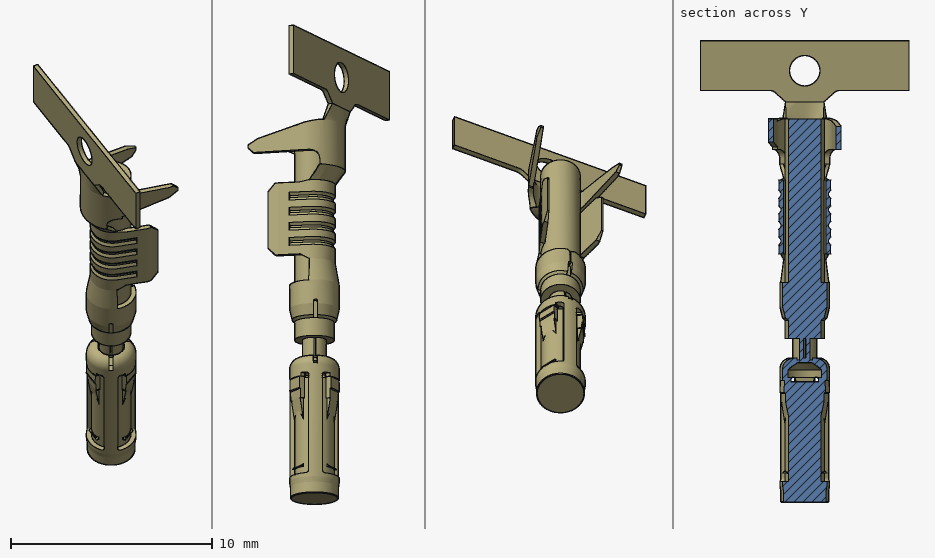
import cadquery as cq
import math


SHEET = 0.25
TOTAL_HEIGHT = 22.97
STRIP_WIDTH = 10.39
BACK_Y = -1.52
WING_TIP_Y = 2.59
BODY_RADIUS = 1.24
PIN_RADIUS = 1.98 / 2

DOME_BASE_Z = 6.58
DOME_TOP_Z = 7.19
PIN_BOTTOM_Z = 8.14
COLLAR_BOTTOM_Z = 9.05
COLLAR_TAPER_Z = 9.72
COLLAR_TOP_Z = 10.94
CRIMP_BOTTOM_Z = 12.07
CRIMP_TOP_Z = 16.13
INSULATION_BOTTOM_Z = 16.82
INSULATION_TOP_Z = 19.11
PIN_TOP_Z = 19.07
STRIP_NECK_Z = 19.92
STRIP_BOTTOM_Z = 20.48

RIM_RADIUS = 1.16
RIM_STEP_RADIUS = 1.20
RIM_STEP_BOTTOM_Z = 0.55
RIM_STEP_TOP_Z = 0.82
NECK_RADIUS = 0.60
NECK_GAP = 0.06
NECK_GAP_DEPTH = 0.10
DOME_INNER_RADIUS = 0.72
CORE_TOP_Z = 6.00
PETAL_COUNT = 3
FRONT_ANGLE = -90
PETAL_STEP = 360 / PETAL_COUNT
WINDOW_HALF_ANGLE = 44
WINDOW_BOTTOM_Z = 1.04
WINDOW_TOP_Z = 6.22
WINDOW_CORNER = 0.15
TONGUE_ROOT_Z = 6.05
TONGUE_ROOT_WIDTH = 1.02
TONGUE_WIDTH = 0.90
TONGUE_END_WIDTH = 0.80
TONGUE_CREASE_Z = 5.47
TONGUE_CREASE_RADIUS = 1.17
TONGUE_CREASE = 0.05
TONGUE_STEP_Z = 4.96
TONGUE_STEP_RADIUS = 1.10
TONGUE_SLOPE = 0.11 / 0.61
TONGUE_INNER_RADIUS = 0.86
BUMP_BOTTOM_Z = 1.45
BUMP_SIZE = 0.18

SLIT_WIDTH = 0.20
DOME_SLIT_BOTTOM_Z = 6.68
COLLAR_SLIT_TOP_Z = 9.94
NECK_SEAM_WIDTH = 0.08
NECK_SEAM_DEPTH = 0.15
COLLAR_SEAM_WIDTH = 0.08
COLLAR_SEAM_FLARE = 0.12

TANGENT_Y = -0.26
CRIMP_BACK_Y = -1.04
CRIMP_TILT = 17
CRIMP_TIP_Y = 1.83
CRIMP_HALF_WIDTH = 1.51
CRIMP_WING_BOTTOM_Z = 12.34
CRIMP_WING_TOP_Z = 16.04
CRIMP_CORNER = 0.40
CRIMP_SHOULDER_Y = 0.20
COLLAR_EDGE_Y = -0.30
INSULATION_TILT = 14
INSULATION_HALF_WIDTH = 2.20
INSULATION_ROOT_Y = -0.95
WING_BOTTOM_Z = 17.55
WING_SHOULDER_Z = 18.96
WING_TIP_Z = 18.26
WING_TIP_CORNER = 0.28
WING_BEND = 0.45

GROOVE_COUNT = 4
GROOVE_PITCH = 0.775
LOWEST_GROOVE_Z = 13.00
GROOVE_WIDTH = 0.40
GROOVE_FLOOR = 0.10
GROOVE_DEPTH = 0.10
GROOVE_END_Y = 0.72

STRIP_HOLE_DIAMETER = 1.50
STRIP_HOLE_Z = 21.47
NECK_HALF_WIDTH = 0.96
NECK_FLARE_HALF_WIDTH = 1.58
NECK_BASE_HALF_WIDTH = 1.09
FLARE_FILLET = 0.40
FLAT_RADIUS = 60

BIG = 10


def cylinder(radius, bottom, top):
    return cq.Workplane("XY", origin=(0, 0, bottom)).circle(radius).extrude(top - bottom)


def box(x_range, y_range, z_range):
    """Box given by its lower and upper limit along each axis."""
    lows, highs = zip(x_range, y_range, z_range)
    size = [high - low for low, high in zip(lows, highs)]
    return cq.Workplane("XY").box(*size, centered=False).translate(lows)


def petal_angles(offset):
    """Directions of the repeated features, measured from +X."""
    return [FRONT_ANGLE + offset + index * PETAL_STEP for index in range(PETAL_COUNT)]


def turned(body, angle):
    """Turn a body built toward +X to the given direction around the contact axis."""
    return body.rotate((0, 0, 0), (0, 0, 1), angle)


def trough_arc(back_y, tilt):
    """Radius and centre height of the trough arc that runs into tilted wings at TANGENT_Y."""
    radius = (TANGENT_Y - back_y) / (1 - math.sin(math.radians(tilt)))
    return radius, back_y + radius


def band_wire(radius, center_y, half_angle, z):
    """Curved strip one sheet thick, centred on the -Y direction."""
    def point(r, degrees):
        angle = math.radians(degrees)
        return r * math.sin(angle), center_y - r * math.cos(angle)

    inner = radius - SHEET
    return (
        cq.Workplane("XY", origin=(0, 0, z))
        .moveTo(*point(radius, -half_angle))
        .threePointArc(point(radius, 0), point(radius, half_angle))
        .lineTo(*point(inner, half_angle))
        .threePointArc(point(inner, 0), point(inner, -half_angle))
        .close()
        .val()
    )


def band_loft(lower_wire, upper_wire):
    return cq.Workplane(cq.Solid.makeLoft([lower_wire, upper_wire], True))


def filled_u(back_y, tilt, tip_y, inset, z):
    """Outer outline of a trough with its wings, moved inward by inset and closed across the tips."""
    base_radius, center_y = trough_arc(back_y, tilt)
    radius = base_radius - inset
    slope = math.radians(tilt)
    tangent_x = radius * math.cos(slope)
    tangent_y = center_y - radius * math.sin(slope)
    tip_x = tangent_x + (tip_y - tangent_y) * math.tan(slope)
    return (
        cq.Workplane("XY", origin=(0, 0, z))
        .moveTo(-tip_x, tip_y)
        .lineTo(-tangent_x, tangent_y)
        .threePointArc((0, center_y - radius), (tangent_x, tangent_y))
        .lineTo(tip_x, tip_y)
        .close()
    )


def trough(back_y, tilt, tip_y, half_width, bottom, top):
    """Open U of sheet metal; the wing tips are coined flat at half_width."""
    height = top - bottom
    outside = filled_u(back_y, tilt, tip_y, 0, bottom).extrude(height)
    inside = filled_u(back_y, tilt, tip_y + SHEET, SHEET, bottom).extrude(height)
    limits = box((-half_width, half_width), (-BIG, BIG), (bottom, top))
    return outside.cut(inside).intersect(limits)


def hood_blank():
    """Solid hood with a stepped rim, a domed top and the neck above it."""
    dome_height = DOME_TOP_Z - DOME_BASE_Z
    dome_width = BODY_RADIUS - DOME_INNER_RADIUS
    half = math.sqrt(0.5)
    dome_middle = (DOME_INNER_RADIUS + half * dome_width, DOME_BASE_Z + half * dome_height)
    gap_floor_z = DOME_TOP_Z - NECK_GAP_DEPTH
    profile = (
        cq.Workplane("XZ")
        .moveTo(0, 0)
        .lineTo(RIM_RADIUS, 0)
        .lineTo(RIM_STEP_RADIUS, RIM_STEP_RADIUS - RIM_RADIUS)
        .lineTo(RIM_STEP_RADIUS, RIM_STEP_BOTTOM_Z)
        .lineTo(BODY_RADIUS, RIM_STEP_TOP_Z)
        .lineTo(BODY_RADIUS, DOME_BASE_Z)
        .threePointArc(dome_middle, (DOME_INNER_RADIUS, DOME_TOP_Z))
        .lineTo(NECK_RADIUS + NECK_GAP, DOME_TOP_Z)
        .lineTo(NECK_RADIUS + NECK_GAP, gap_floor_z)
        .lineTo(NECK_RADIUS, gap_floor_z)
        .lineTo(NECK_RADIUS, PIN_BOTTOM_Z)
        .lineTo(0, PIN_BOTTOM_Z)
        .close()
    )
    return profile.revolve(360, (0, 0, 0), (0, 1, 0))


def hood_cavity():
    """Space between the top of the core and the dome."""
    ceiling = DOME_TOP_Z - SHEET
    return cylinder(PIN_RADIUS, CORE_TOP_Z, ceiling).faces(">Z").chamfer(ceiling - DOME_BASE_Z)


def window():
    """Sector of the hood wall around the tongue, toward +X, with rounded corners."""
    spread = math.tan(math.radians(WINDOW_HALF_ANGLE))
    near = PIN_RADIUS / 2
    far = BODY_RADIUS + SHEET
    sector = (
        cq.Workplane("XY", origin=(0, 0, WINDOW_BOTTOM_Z))
        .polyline([(near, -near * spread), (far, -far * spread), (far, far * spread), (near, near * spread)])
        .close()
        .extrude(WINDOW_TOP_Z - WINDOW_BOTTOM_Z)
        .faces("<Y or >Y")
        .edges("#Z")
        .fillet(WINDOW_CORNER)
    )
    half_root = TONGUE_ROOT_WIDTH / 2
    root = box((0, BIG), (-half_root, half_root), (TONGUE_ROOT_Z, WINDOW_TOP_Z))
    return sector.cut(root).cut(cylinder(PIN_RADIUS, 0, WINDOW_TOP_Z))


def radial_plate(points, width):
    """Plate with a (radius, height) outline, centred on the +X direction."""
    return cq.Workplane("XZ").polyline(points).close().extrude(width / 2, both=True)


def tongue():
    """Spring tongue that leans from the hood wall down into the core."""
    root_radius = math.sqrt(BODY_RADIUS**2 - (TONGUE_WIDTH / 2) ** 2)
    end_z = TONGUE_STEP_Z - (TONGUE_STEP_RADIUS - TONGUE_INNER_RADIUS) / TONGUE_SLOPE
    upper = radial_plate(
        [
            (TONGUE_INNER_RADIUS, WINDOW_TOP_Z),
            (root_radius, WINDOW_TOP_Z),
            (root_radius, TONGUE_ROOT_Z),
            (TONGUE_CREASE_RADIUS, TONGUE_CREASE_Z),
            (TONGUE_CREASE_RADIUS - TONGUE_CREASE, TONGUE_CREASE_Z - TONGUE_CREASE),
            (TONGUE_STEP_RADIUS, TONGUE_STEP_Z),
            (TONGUE_INNER_RADIUS, TONGUE_STEP_Z),
        ],
        TONGUE_WIDTH,
    )
    lower = radial_plate(
        [
            (TONGUE_INNER_RADIUS, TONGUE_STEP_Z),
            (TONGUE_STEP_RADIUS, TONGUE_STEP_Z),
            (TONGUE_INNER_RADIUS, end_z),
        ],
        TONGUE_END_WIDTH,
    )
    return upper.union(lower)


def bump():
    """Small wedge on the core near the bottom of the window."""
    points = [
        (TONGUE_INNER_RADIUS, BUMP_BOTTOM_Z),
        (TONGUE_INNER_RADIUS + BUMP_SIZE, BUMP_BOTTOM_Z),
        (TONGUE_INNER_RADIUS, BUMP_BOTTOM_Z + BUMP_SIZE),
    ]
    return radial_plate(points, TONGUE_END_WIDTH)


def socket():
    body = hood_blank().cut(hood_cavity())
    for angle in petal_angles(0):
        body = body.cut(turned(window(), angle))
    for angle in petal_angles(0):
        body = body.union(turned(tongue(), angle)).union(turned(bump(), angle))
    half_slit = SLIT_WIDTH / 2
    slit = box((NECK_RADIUS, BIG), (-half_slit, half_slit), (DOME_SLIT_BOTTOM_Z, DOME_TOP_Z))
    half_seam = NECK_SEAM_WIDTH / 2
    seam = box((NECK_RADIUS - NECK_SEAM_DEPTH, BIG), (-half_seam, half_seam), (DOME_TOP_Z, PIN_BOTTOM_Z))
    for angle in petal_angles(PETAL_STEP / 2):
        body = body.cut(turned(slit, angle)).cut(turned(seam, angle))
    return body


def collar_seam():
    """Joint of the rolled sheet on the +Y side, opening toward the top of the collar."""
    half_seam = COLLAR_SEAM_WIDTH / 2
    half_mouth = half_seam + COLLAR_SEAM_FLARE
    flare_z = COLLAR_TOP_Z - COLLAR_SEAM_FLARE
    return (
        cq.Workplane("XZ", origin=(0, PIN_RADIUS, 0))
        .moveTo(-half_seam, COLLAR_BOTTOM_Z)
        .lineTo(half_seam, COLLAR_BOTTOM_Z)
        .lineTo(half_seam, flare_z)
        .lineTo(half_mouth, COLLAR_TOP_Z)
        .lineTo(-half_mouth, COLLAR_TOP_Z)
        .lineTo(-half_seam, flare_z)
        .close()
        .extrude(-BIG)
    )


def collar():
    """Closed ring around the wire with a tapered, slit lower end."""
    lip = SHEET / 2
    rounded_radius = BODY_RADIUS - lip
    ring = (
        cq.Workplane("XZ")
        .moveTo(0, COLLAR_BOTTOM_Z)
        .lineTo(PIN_RADIUS, COLLAR_BOTTOM_Z)
        .lineTo(rounded_radius, COLLAR_BOTTOM_Z + lip)
        .lineTo(BODY_RADIUS, COLLAR_TAPER_Z)
        .lineTo(BODY_RADIUS, COLLAR_TOP_Z)
        .lineTo(0, COLLAR_TOP_Z)
        .close()
        .revolve(360, (0, 0, 0), (0, 1, 0))
    )
    slit_center_z = (COLLAR_BOTTOM_Z + COLLAR_SLIT_TOP_Z) / 2
    slit_length = COLLAR_SLIT_TOP_Z - COLLAR_BOTTOM_Z + SLIT_WIDTH
    slit = (
        cq.Workplane("YZ", origin=(PIN_RADIUS, 0, slit_center_z - SLIT_WIDTH / 2))
        .slot2D(slit_length, SLIT_WIDTH, 90)
        .extrude(BIG)
    )
    for angle in petal_angles(PETAL_STEP / 2):
        ring = ring.cut(turned(slit, angle))
    return ring.cut(collar_seam())


def collar_transition():
    crimp_radius, crimp_center = trough_arc(CRIMP_BACK_Y, CRIMP_TILT)
    collar_angle = math.degrees(math.acos(-COLLAR_EDGE_Y / BODY_RADIUS))
    return band_loft(
        band_wire(BODY_RADIUS, 0, collar_angle, COLLAR_TOP_Z),
        band_wire(crimp_radius, crimp_center, 90 - CRIMP_TILT, CRIMP_BOTTOM_Z),
    )


def groove():
    """Serration around the outside of the crimp trough, centred at Z = 0."""
    half_width = GROOVE_WIDTH / 2
    half_floor = GROOVE_FLOOR / 2

    def outline(inset, z):
        return filled_u(CRIMP_BACK_Y, CRIMP_TILT, GROOVE_END_Y, inset, z)

    def flank(z):
        return cq.Workplane(
            cq.Solid.makeLoft([
                outline(0, z).wire().val(),
                outline(GROOVE_DEPTH, math.copysign(half_floor, z)).wire().val(),
            ], True)
        )

    waist = outline(GROOVE_DEPTH, -half_floor).extrude(GROOVE_FLOOR)
    waist = waist.union(flank(-half_width)).union(flank(half_width))
    slab = outline(-GROOVE_DEPTH, -half_width).extrude(GROOVE_WIDTH)
    return slab.cut(waist)


def crimp_on_wire():
    """Wire in its crimp trough: wings with chamfered corners and serrations on the outside."""
    walls = trough(
        CRIMP_BACK_Y, CRIMP_TILT, CRIMP_TIP_Y, CRIMP_HALF_WIDTH, CRIMP_BOTTOM_Z, CRIMP_TOP_Z
    )
    side_outline = (
        cq.Workplane("YZ")
        .moveTo(-BIG, CRIMP_BOTTOM_Z)
        .lineTo(TANGENT_Y, CRIMP_BOTTOM_Z)
        .lineTo(CRIMP_SHOULDER_Y, CRIMP_WING_BOTTOM_Z)
        .lineTo(CRIMP_TIP_Y - CRIMP_CORNER, CRIMP_WING_BOTTOM_Z)
        .lineTo(CRIMP_TIP_Y, CRIMP_WING_BOTTOM_Z + CRIMP_CORNER)
        .lineTo(CRIMP_TIP_Y, CRIMP_WING_TOP_Z - CRIMP_CORNER)
        .lineTo(CRIMP_TIP_Y - CRIMP_CORNER, CRIMP_WING_TOP_Z)
        .lineTo(CRIMP_SHOULDER_Y, CRIMP_WING_TOP_Z)
        .lineTo(TANGENT_Y, CRIMP_TOP_Z)
        .lineTo(-BIG, CRIMP_TOP_Z)
        .close()
        .extrude(BIG, both=True)
    )
    walls = walls.intersect(side_outline)
    body = walls.union(cylinder(PIN_RADIUS, PIN_BOTTOM_Z, PIN_TOP_Z))
    cutter = groove()
    for index in range(GROOVE_COUNT):
        body = body.cut(cutter.translate((0, 0, LOWEST_GROOVE_Z + index * GROOVE_PITCH)))
    return body


def insulation_transition():
    crimp_radius, crimp_center = trough_arc(CRIMP_BACK_Y, CRIMP_TILT)
    radius, center_y = trough_arc(BACK_Y, INSULATION_TILT)
    edge_angle = math.degrees(math.acos((center_y - INSULATION_ROOT_Y) / radius))
    return band_loft(
        band_wire(crimp_radius, crimp_center, 90 - CRIMP_TILT, CRIMP_TOP_Z),
        band_wire(radius, center_y, edge_angle, INSULATION_BOTTOM_Z),
    )


def insulation_wing_outline(flipped):
    """Side outline of the trough with one wing; flipped turns the wing outline upside down."""
    middle_z = (WING_BOTTOM_Z + WING_SHOULDER_Z + SHEET / 2) / 2

    def wing_z(z):
        return 2 * middle_z - z if flipped else z

    half_bend = WING_BEND * (1 - math.sqrt(0.5))
    base = (
        cq.Workplane("YZ")
        .moveTo(-BIG, INSULATION_BOTTOM_Z)
        .lineTo(INSULATION_ROOT_Y, INSULATION_BOTTOM_Z)
        .lineTo(INSULATION_ROOT_Y, WING_BOTTOM_Z - WING_BEND)
        .threePointArc(
            (INSULATION_ROOT_Y + half_bend, WING_BOTTOM_Z - half_bend),
            (INSULATION_ROOT_Y + WING_BEND, WING_BOTTOM_Z),
        )
        .lineTo(TANGENT_Y, WING_BOTTOM_Z)
        .lineTo(TANGENT_Y, WING_SHOULDER_Z)
        .lineTo(INSULATION_ROOT_Y, INSULATION_TOP_Z)
        .lineTo(-BIG, INSULATION_TOP_Z)
        .close()
        .extrude(BIG)
    )
    straight_y = WING_TIP_Y - 2 * WING_TIP_CORNER
    corners = [
        (TANGENT_Y, WING_BOTTOM_Z),
        (WING_TIP_Y - WING_TIP_CORNER, WING_BOTTOM_Z),
        (WING_TIP_Y, WING_BOTTOM_Z + WING_TIP_CORNER),
        (WING_TIP_Y, WING_TIP_Z - WING_TIP_CORNER),
        (straight_y, WING_TIP_Z),
        (TANGENT_Y, WING_SHOULDER_Z),
    ]
    wing = (
        cq.Workplane("YZ")
        .polyline([(y, wing_z(z)) for y, z in corners])
        .close()
        .extrude(BIG)
    )
    return base.union(wing)


def insulation_crimp():
    """Insulation crimp trough; the two wings are staggered in height."""
    walls = trough(
        BACK_Y, INSULATION_TILT, WING_TIP_Y, INSULATION_HALF_WIDTH, INSULATION_BOTTOM_Z, INSULATION_TOP_Z
    )
    right_side = insulation_wing_outline(True)
    left_side = insulation_wing_outline(False).translate((-BIG, 0, 0))
    return walls.intersect(right_side.union(left_side))


def strip_transition():
    """Neck that flattens from the trough arc to the strip."""
    radius, center_y = trough_arc(BACK_Y, INSULATION_TILT)
    base_angle = math.degrees(math.asin(NECK_BASE_HALF_WIDTH / radius))
    flat_angle = math.degrees(math.asin(NECK_HALF_WIDTH / FLAT_RADIUS))
    return band_loft(
        band_wire(radius, center_y, base_angle, INSULATION_TOP_Z),
        band_wire(FLAT_RADIUS, BACK_Y + FLAT_RADIUS, flat_angle, STRIP_NECK_Z),
    )


def strip():
    half_width = STRIP_WIDTH / 2
    right_half = [
        (NECK_HALF_WIDTH, STRIP_NECK_Z),
        (NECK_FLARE_HALF_WIDTH, STRIP_BOTTOM_Z),
        (half_width, STRIP_BOTTOM_Z),
        (half_width, TOTAL_HEIGHT),
    ]
    left_half = [(-x, z) for x, z in reversed(right_half)]
    flare_edges = cq.selectors.BoxSelector(
        (-NECK_FLARE_HALF_WIDTH - SHEET, -BIG, STRIP_BOTTOM_Z - SHEET),
        (NECK_FLARE_HALF_WIDTH + SHEET, BIG, STRIP_BOTTOM_Z + SHEET),
    )
    plate = (
        cq.Workplane("XZ", origin=(0, BACK_Y, 0))
        .polyline(right_half + left_half)
        .close()
        .extrude(-SHEET)
        .edges("|Y")
        .edges(flare_edges)
        .fillet(FLARE_FILLET)
    )
    hole = (
        cq.Workplane("XZ", origin=(0, BACK_Y, STRIP_HOLE_Z))
        .circle(STRIP_HOLE_DIAMETER / 2)
        .extrude(-SHEET)
    )
    return plate.cut(hole)


def contact():
    body = crimp_on_wire()
    sections = [
        socket(),
        collar(),
        collar_transition(),
        insulation_transition(),
        insulation_crimp(),
        strip_transition(),
        strip(),
    ]
    for section in sections:
        body = body.union(section)
    return body


result = contact()